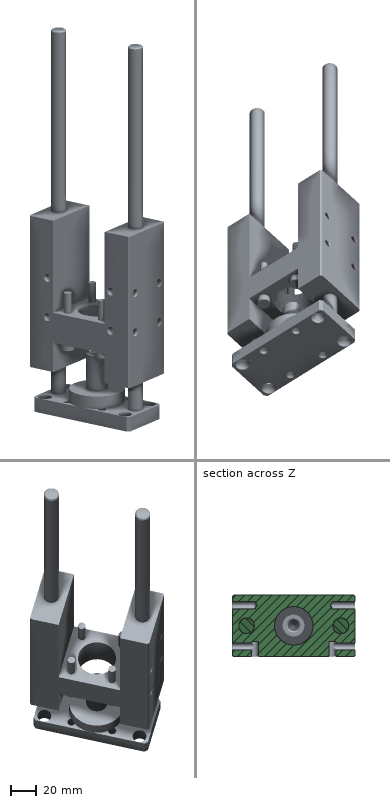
import cadquery as cq
import math

BLOCK_LENGTH = 97.0
BLOCK_WIDTH = 49.0
BLOCK_HEIGHT = 125.0
BLOCK_BOTTOM = 37.0
BLOCK_TOP = BLOCK_BOTTOM + BLOCK_HEIGHT
BLOCK_CHAMFER = 1.2
LEG_GAP = 50.0
BRIDGE_BOTTOM = 61.5
BRIDGE_HEIGHT = 24.5
BRIDGE_TOP = BRIDGE_BOTTOM + BRIDGE_HEIGHT
BRIDGE_BORE = 30.0

SCREW_SPACING = 33.0
SCREW_OFFSET = SCREW_SPACING / 2

MOUNT_DIAMETER = 5.3
MOUNT_MOUTH = 6.5
MOUNT_SPACING = 32.5
MOUNT_OFFSET = MOUNT_SPACING / 2
MOUNT_MIDDLE_Z = 97.5
FRONT_HOLE_X = 30.5
FRONT_HOLE_DEPTH = 12.0
SIDE_HOLE_DEPTH = BLOCK_LENGTH / 2 - FRONT_HOLE_X
DRILL_POINT_ANGLE = math.radians(118)

SCREW_DIAMETER = 6.0
SCREW_TOP = 102.3
HEAD_DIAMETER = 10.0
HEAD_HEIGHT = SCREW_DIAMETER

PLATE_LENGTH = 93.0
PLATE_WIDTH = 44.0
PLATE_THICKNESS = 12.0
PLATE_CHAMFER = 2.2
CORNER_HOLE_DIAMETER = 11.0
CORNER_HOLE_X = 38.7
CORNER_HOLE_Y = 16.2
INNER_HOLE_DIAMETER = 6.5

ROD_DIAMETER = 12.0
ROD_X = 37.0
ROD_TOP = 312.0
ROD_CHAMFER = 1.0

FLANGE_DIAMETER = PLATE_WIDTH
FLANGE_TOP = 22.0
SHANK_DIAMETER = 17.2
SHANK_TOP = 51.2
FLATS_BOTTOM = 41.0
FLATS_WIDTH = 14.0
SOCKET_DIAMETER = 8.7
SOCKET_MOUTH = 11.0
SOCKET_DEPTH = 20.0


def four_corners(x, y):
    return [(sx * x, sy * y) for sx in (-1, 1) for sy in (-1, 1)]


ROD_POINTS = [(-ROD_X, 0), (ROD_X, 0)]
SCREW_POINTS = four_corners(SCREW_OFFSET, SCREW_OFFSET)


def box(length, width, bottom, top):
    return cq.Workplane("XY").workplane(offset=bottom).rect(length, width).extrude(top - bottom)


def cylinders(diameter, bottom, top, points=((0, 0),)):
    """Upright cylinders of one size, one at each (x, y) point."""
    plane = cq.Workplane("XY").workplane(offset=bottom)
    return plane.pushPoints(points).circle(diameter / 2).extrude(top - bottom)


def hole_tool(diameter, mouth, depth, point, inward, pointed):
    """Blind hole with a 45-degree mouth chamfer and a flat or drill-pointed end."""
    radius = diameter / 2
    mouth_radius = mouth / 2
    profile = (
        cq.Workplane("XZ")
        .lineTo(mouth_radius, 0)
        .lineTo(radius, radius - mouth_radius)
        .lineTo(radius, -depth)
    )
    tip_length = radius / math.tan(DRILL_POINT_ANGLE / 2) if pointed else 0
    tool = profile.lineTo(0, -depth - tip_length).close().revolve(360, (0, 0, 0), (0, 1, 0))
    outward = cq.Vector(*inward).multiply(-1)
    return cq.Workplane(tool.val().moved(cq.Location(cq.Plane(point, normal=outward))))


def drill_mounting_holes(block):
    for z in (MOUNT_MIDDLE_Z - MOUNT_OFFSET, MOUNT_MIDDLE_Z + MOUNT_OFFSET):
        for side in (-1, 1):
            front_point = (side * FRONT_HOLE_X, -BLOCK_WIDTH / 2, z)
            block = block.cut(
                hole_tool(MOUNT_DIAMETER, MOUNT_MOUTH, FRONT_HOLE_DEPTH, front_point, (0, 1, 0), False)
            )
            for y in (-MOUNT_OFFSET, MOUNT_OFFSET):
                side_point = (side * BLOCK_LENGTH / 2, y, z)
                block = block.cut(
                    hole_tool(MOUNT_DIAMETER, MOUNT_MOUTH, SIDE_HOLE_DEPTH, side_point, (-side, 0, 0), True)
                )
    return block


def make_guide_block():
    block = box(BLOCK_LENGTH, BLOCK_WIDTH, BLOCK_BOTTOM, BLOCK_TOP).edges("|Z").chamfer(BLOCK_CHAMFER)
    block = block.cut(box(LEG_GAP, BLOCK_WIDTH, BRIDGE_TOP, BLOCK_TOP))
    block = block.cut(box(LEG_GAP, BLOCK_WIDTH, BLOCK_BOTTOM, BRIDGE_BOTTOM))
    block = block.cut(cylinders(BRIDGE_BORE, BRIDGE_BOTTOM, BRIDGE_TOP))
    block = block.cut(cylinders(ROD_DIAMETER, BLOCK_BOTTOM, BLOCK_TOP, ROD_POINTS))
    block = drill_mounting_holes(block)
    block = block.union(cylinders(HEAD_DIAMETER, BRIDGE_BOTTOM - HEAD_HEIGHT, BRIDGE_BOTTOM, SCREW_POINTS))
    return block.union(cylinders(SCREW_DIAMETER, BRIDGE_TOP, SCREW_TOP, SCREW_POINTS))


def make_plate():
    plate = box(PLATE_LENGTH, PLATE_WIDTH, 0, PLATE_THICKNESS).edges("|Z").chamfer(PLATE_CHAMFER)
    corner_points = four_corners(CORNER_HOLE_X, CORNER_HOLE_Y)
    plate = plate.cut(cylinders(CORNER_HOLE_DIAMETER, 0, PLATE_THICKNESS, corner_points))
    return plate.cut(cylinders(INNER_HOLE_DIAMETER, 0, PLATE_THICKNESS, SCREW_POINTS))


def make_coupling():
    flange = cylinders(FLANGE_DIAMETER, PLATE_THICKNESS, FLANGE_TOP)
    shank = cylinders(SHANK_DIAMETER, FLANGE_TOP, FLATS_BOTTOM)
    neck = cylinders(SHANK_DIAMETER, FLATS_BOTTOM, SHANK_TOP)
    neck = neck.intersect(box(FLATS_WIDTH, SHANK_DIAMETER, FLATS_BOTTOM, SHANK_TOP))
    socket = hole_tool(SOCKET_DIAMETER, SOCKET_MOUTH, SOCKET_DEPTH, (0, 0, SHANK_TOP), (0, 0, -1), True)
    return flange.union(shank).union(neck).cut(socket)


def make_slide():
    rods = cylinders(ROD_DIAMETER, PLATE_THICKNESS, ROD_TOP, ROD_POINTS).faces(">Z").chamfer(ROD_CHAMFER)
    return make_plate().union(make_coupling()).union(rods)


guide_block = make_guide_block()
slide = make_slide()
result = cq.Compound.makeCompound([guide_block.solids().val(), slide.solids().val()])